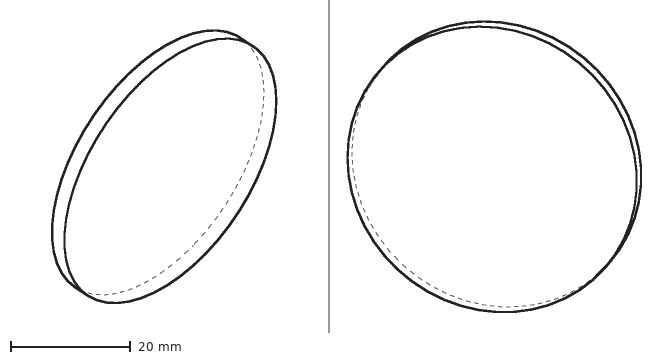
import cadquery as cq

diameter = 50.0
total_thickness = 8.75
rim_thickness = 2.95

radius = diameter / 2
dome_height = total_thickness - rim_thickness
sphere_radius = (radius**2 + dome_height**2) / (2 * dome_height)

rim = cq.Workplane("YZ").circle(radius).extrude(-rim_thickness)

sphere_center_x = sphere_radius - total_thickness
sphere = cq.Workplane("XY").sphere(sphere_radius).translate((sphere_center_x, 0, 0))
dome_envelope = (
    cq.Workplane("YZ").workplane(offset=-rim_thickness).circle(radius).extrude(-dome_height)
)
dome = dome_envelope.intersect(sphere)

result = rim.union(dome)